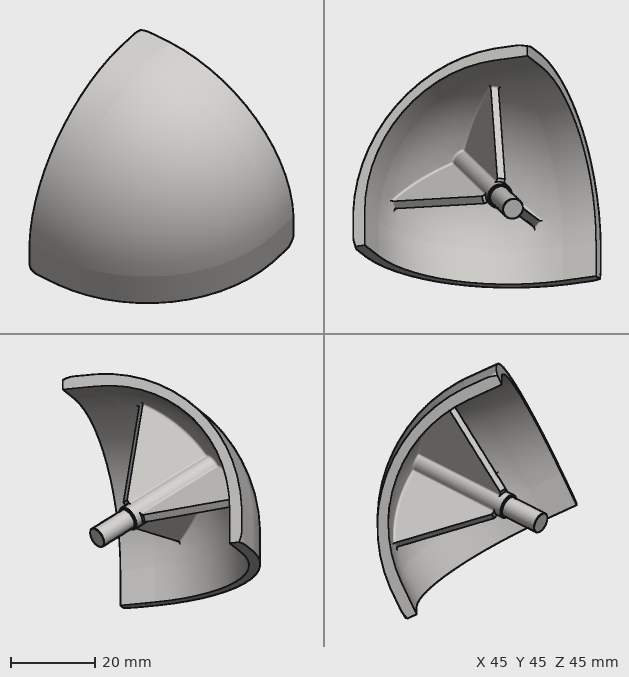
import cadquery as cq
import math

SIZE = 45.0
FLAT = 8.55
WALL = 3.0
OUTER_CENTER = 7.2
CAVITY_RADIUS = SIZE - WALL - FLAT
AXIS_COUNT = 3

CORNER_RADIUS = 3.0
CORNER_REACH = 2.0
CORNER_BEVEL = 0.68

STUD_RADIUS = 3.0
TIP_RADIUS = 2.5
TIP_START = 11.05
SHOULDER_HEIGHT = 20.92
TIP_CHAMFER = 0.1
SHOULDER_CHAMFER = 0.22

RIB_HEIGHT = 23.0
RIB_THICKNESS = 2.0
RIB_LEDGE = 3.85
ROOT_FILLET = 0.5

BALL_CENTER_HEIGHT = FLAT * math.sqrt(3)
INSIDE_HEIGHT = BALL_CENTER_HEIGHT + CAVITY_RADIUS

DIAGONAL = cq.Plane(origin=(0, 0, 0), xDir=(-1, 1, 2), normal=(1, -1, 1))


def corner_block(start, end):
    """Cube along the +X, -Y, +Z diagonal, from start to end on every axis."""
    side = end - start
    return cq.Workplane("XY").box(side, side, side, centered=False).translate((start, -end, start))


def outer_body():
    """Solid corner with slightly flattened outer curves, which meet the flats at a small angle."""
    curve_radius = math.hypot(FLAT - OUTER_CENTER, SIZE - OUTER_CENTER)
    ball_radius = math.hypot(FLAT - OUTER_CENTER, curve_radius)
    curve_middle = OUTER_CENTER + curve_radius / math.sqrt(2)
    ball = cq.Workplane("XY").sphere(ball_radius).translate((OUTER_CENTER, -OUTER_CENTER, OUTER_CENTER))
    body = ball.intersect(corner_block(FLAT, SIZE))
    side_slab = (
        cq.Workplane(cq.Plane(origin=(0, 0, 0), xDir=(0, -1, 0), normal=(-1, 0, 0)))
        .lineTo(SIZE, 0)
        .lineTo(SIZE, FLAT)
        .threePointArc((curve_middle, curve_middle), (FLAT, SIZE))
        .lineTo(0, SIZE)
        .close()
        .extrude(-FLAT)
    )
    for index in range(AXIS_COUNT):
        body = body.union(about_diagonal(side_slab, index))
    return body


def ball_cavity(size, radius):
    """Cube along the diagonal with its three far edges rounded into a ball corner."""
    block = corner_block(0, size)
    far_corner = cq.Vector(size, -size, size)
    far_edges = [
        edge for edge in block.edges().vals()
        if any((vertex.Center() - far_corner).Length < size / 2 for vertex in edge.Vertices())
    ]
    return block.newObject(far_edges).fillet(radius)


def corner_cutter():
    """Waste above the rounded and bevelled top corner at X = 0, Y = 0."""
    slope = math.asin((CORNER_REACH - CORNER_BEVEL) / CORNER_RADIUS)

    def on_arc(angle):
        along = CORNER_REACH - CORNER_RADIUS * math.sin(angle)
        return along, -CORNER_RADIUS * (1 - math.cos(angle))

    bevel_along, bevel_height = on_arc(slope)
    profile_plane = cq.Plane(origin=(0, 0, SIZE), xDir=(1, -1, 0), normal=(-1, -1, 0))
    return (
        cq.Workplane(profile_plane)
        .moveTo(CORNER_REACH, 0)
        .threePointArc(on_arc(slope / 2), (bevel_along, bevel_height))
        .lineTo(0, bevel_height - bevel_along * math.tan(slope))
        .lineTo(0, WALL)
        .lineTo(CORNER_REACH, WALL)
        .close()
        .extrude(FLAT, both=True)
    )


def about_diagonal(shape, index):
    """Copy of a shape turned to one of the three equal positions around the diagonal."""
    return shape.rotate((0, 0, 0), DIAGONAL.zDir.toTuple(), index * 360 / AXIS_COUNT)


def stud_and_ribs(end_height):
    """Stud and ribs running past the inside of the shell, to be trimmed to it."""
    shaft = (
        cq.Workplane(DIAGONAL).workplane(offset=SHOULDER_HEIGHT)
        .circle(STUD_RADIUS).extrude(end_height - SHOULDER_HEIGHT)
        .faces(cq.selectors.DirectionMinMaxSelector(DIAGONAL.zDir, False)).chamfer(SHOULDER_CHAMFER)
    )
    rib_plane = cq.Plane(origin=(0, 0, 0), xDir=DIAGONAL.xDir, normal=DIAGONAL.yDir * -1)
    rib_span = end_height - RIB_HEIGHT
    rib = (
        cq.Workplane(rib_plane)
        .polyline([
            (0, RIB_HEIGHT),
            (RIB_LEDGE, RIB_HEIGHT),
            (RIB_LEDGE + rib_span, end_height),
            (0, end_height),
        ])
        .close()
        .extrude(RIB_THICKNESS / 2, both=True)
    )
    for index in range(AXIS_COUNT):
        shaft = shaft.union(about_diagonal(rib, index))
    return shaft


def stud_tip():
    """Narrower free end of the stud."""
    return (
        cq.Workplane(DIAGONAL).workplane(offset=TIP_START)
        .circle(TIP_RADIUS).extrude(RIB_HEIGHT - TIP_START)
        .faces(cq.selectors.DirectionMinMaxSelector(DIAGONAL.zDir, False)).chamfer(TIP_CHAMFER)
    )


def blend_roots(body):
    """Fillet where ribs meet the stud and where both meet the ball-shaped inside."""
    axis = DIAGONAL.zDir
    ball_center = axis * BALL_CENTER_HEIGHT
    tolerance = 0.005
    rib_end_height = 38.25
    roots = []
    for edge in body.edges().vals():
        middle = edge.positionAt(0.5)
        height = middle.dot(axis)
        from_axis = (middle - axis * height).Length
        on_stud = abs(from_axis - STUD_RADIUS) < tolerance and height > RIB_HEIGHT + tolerance
        on_ball = abs((middle - ball_center).Length - CAVITY_RADIUS) < tolerance
        clear_of_seams = min(middle.x, -middle.y, middle.z) > FLAT + tolerance
        if on_stud or (on_ball and height > rib_end_height and clear_of_seams):
            roots.append(edge)
    return body.newObject(roots).fillet(ROOT_FILLET)


outer = outer_body()
cavity = ball_cavity(SIZE - WALL, CAVITY_RADIUS)
shell = outer.cut(cavity)

support = stud_and_ribs(INSIDE_HEIGHT + WALL / 2).intersect(outer)
body = blend_roots(shell.union(support))
result = body.union(stud_tip())
for index in range(AXIS_COUNT):
    result = result.cut(about_diagonal(corner_cutter(), index))